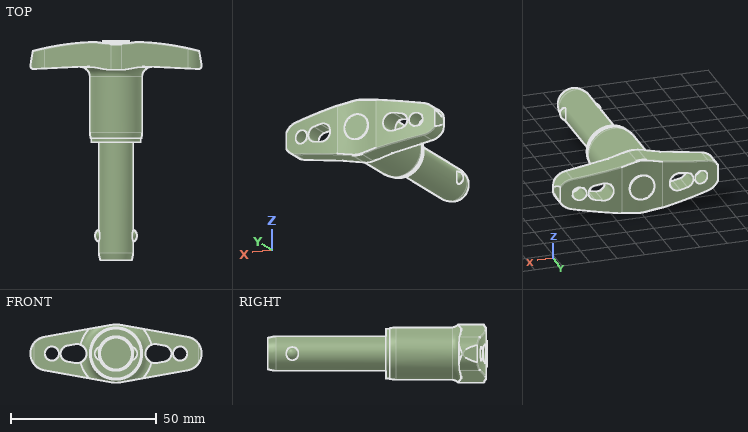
import cadquery as cq
import math


pin_radius = 6.0
pin_length = 40.7
tip_radius = 5.45
tip_length = 2.7
tip_mid_radius = 5.8
ball_radius = 2.35
ball_reach = 7.3
ball_y = 8.5 - pin_length

barrel_radius = 9.07
collar_radius = 8.6
collar_length = 1.45
barrel_nose_radius = 8.8
barrel_nose_length = 2.0
flare_radius = 12.6
flare_start_y = 22.85
flare_end_y = 25.9
flare_root_y = 30.0

overall_top_y = 35.0
button_radius = 4.5
button_thickness = 0.55
button_stem_radius = 3.2

handle_half_length = 29.55
end_draft_angle = 9.6
end_top_x = 28.72
end_top_y = overall_top_y - 3.5
crown_mid_x = 18.5
crown_mid_y = overall_top_y - 1.35
crest_x = 7.4
crest_y = overall_top_y - 0.33
dip_y = overall_top_y - 1.0
underside_end_y = overall_top_y - 9.85
underside_angle = 2.8
end_corner_radius = 1.2
crown_edge_radius = 0.3

plan_taper_angle = 10.0
plan_end_radius = 5.9
plan_middle_radius = 10.0
handle_half_width = 10.08

small_hole_x = 22.1
small_hole_radius = 2.4
slot_inner_x = 13.45
slot_inner_radius = 3.25
slot_outer_x = 16.3
slot_outer_radius = 2.75

handle_span_start_y = 20.0
handle_span_length = 20.0
margin = 1.0
tolerance = 0.1


def along_y(outline, start_y, length):
    """Extrude wires, drawn as (x, z) on the XZ plane, from start_y towards +Y."""
    return outline.extrude(-length).translate((0, start_y, 0))


def turned_body():
    """Pin, collar, barrel and nose as one revolved body."""
    tip_y = -pin_length
    tip_mid = (tip_mid_radius, tip_y + tip_length / 2)
    nose_inset = barrel_radius - barrel_nose_radius
    nose_mid = (barrel_radius - nose_inset / 4, collar_length + barrel_nose_length / 2)
    nose_top_y = collar_length + barrel_nose_length
    return (
        cq.Workplane("XY")
        .moveTo(0, tip_y)
        .lineTo(tip_radius, tip_y)
        .threePointArc(tip_mid, (pin_radius, tip_y + tip_length))
        .lineTo(pin_radius, 0)
        .lineTo(collar_radius, 0)
        .lineTo(collar_radius, collar_length)
        .lineTo(barrel_nose_radius, collar_length)
        .threePointArc(nose_mid, (barrel_radius, nose_top_y))
        .lineTo(barrel_radius, flare_root_y)
        .lineTo(0, flare_root_y)
        .close()
        .revolve(360, (0, 0, 0), (0, 1, 0))
    )


def flare():
    """Concave transition from the barrel to the underside of the handle."""
    width = flare_radius - barrel_radius
    height = flare_end_y - flare_start_y
    mid = (
        flare_radius - width * math.cos(math.pi / 4),
        flare_start_y + height * math.sin(math.pi / 4),
    )
    return (
        cq.Workplane("XY")
        .moveTo(0, flare_start_y)
        .lineTo(barrel_radius, flare_start_y)
        .threePointArc(mid, (flare_radius, flare_end_y))
        .lineTo(flare_radius, flare_root_y)
        .lineTo(0, flare_root_y)
        .close()
        .revolve(360, (0, 0, 0), (0, 1, 0))
    )


def plan_prism():
    """Tapered plan outline of the handle with rounded ends and middle."""
    taper = math.radians(plan_taper_angle)
    end_center_x = handle_half_length - plan_end_radius
    end_x = end_center_x + plan_end_radius * math.sin(taper)
    end_z = plan_end_radius * math.cos(taper)
    middle_x = plan_middle_radius * math.sin(taper)
    middle_z = handle_half_width - plan_middle_radius * (1 - math.cos(taper))
    outline = (
        cq.Workplane("XZ")
        .moveTo(-middle_x, middle_z)
        .threePointArc((0, handle_half_width), (middle_x, middle_z))
        .lineTo(end_x, end_z)
        .threePointArc((handle_half_length, 0), (end_x, -end_z))
        .lineTo(middle_x, -middle_z)
        .threePointArc((0, -handle_half_width), (-middle_x, -middle_z))
        .lineTo(-end_x, -end_z)
        .threePointArc((-handle_half_length, 0), (-end_x, end_z))
        .close()
    )
    return along_y(outline, handle_span_start_y, handle_span_length)


def profile_prism():
    """Side profile of the handle: crowned top with a central dip, drafted ends."""
    end_drop = end_top_y - underside_end_y
    end_bottom_x = end_top_x + end_drop * math.tan(math.radians(end_draft_angle))
    underside_rise = end_bottom_x * math.tan(math.radians(underside_angle))
    return (
        cq.Workplane("XY")
        .moveTo(-end_top_x, end_top_y)
        .threePointArc((-crown_mid_x, crown_mid_y), (-crest_x, crest_y))
        .threePointArc((0, dip_y), (crest_x, crest_y))
        .threePointArc((crown_mid_x, crown_mid_y), (end_top_x, end_top_y))
        .lineTo(end_bottom_x, underside_end_y)
        .lineTo(0, underside_end_y + underside_rise)
        .lineTo(-end_bottom_x, underside_end_y)
        .close()
        .extrude(handle_half_width + margin, both=True)
        .edges(cq.selectors.BoxSelector(
            (-handle_half_length - margin, underside_end_y - tolerance, -margin),
            (handle_half_length + margin, underside_end_y + tolerance, margin),
        ))
        .fillet(end_corner_radius)
    )


def crown_side_edges(handle):
    """Edges where the crowned top meets the plan outline."""
    def is_crown_edge(edge):
        box = edge.BoundingBox()
        on_side = abs(edge.Center().z) > plan_end_radius / 2
        return box.ymin > end_top_y - tolerance and on_side
    return handle.edges().filter(is_crown_edge)


def handle_body():
    plan = plan_prism()
    handle = profile_prism().intersect(plan)
    handle = crown_side_edges(handle).fillet(crown_edge_radius)
    return handle.union(flare().intersect(plan))


def teardrop_slot(side):
    """Slot with a large end towards the barrel and a small end outwards."""
    spacing = slot_outer_x - slot_inner_x
    lean = math.asin((slot_inner_radius - slot_outer_radius) / spacing)
    inner_x = slot_inner_x + slot_inner_radius * math.sin(lean)
    outer_x = slot_outer_x + slot_outer_radius * math.sin(lean)
    inner_z = slot_inner_radius * math.cos(lean)
    outer_z = slot_outer_radius * math.cos(lean)
    outline = (
        cq.Workplane("XZ")
        .moveTo(side * inner_x, inner_z)
        .lineTo(side * outer_x, outer_z)
        .threePointArc((side * (slot_outer_x + slot_outer_radius), 0), (side * outer_x, -outer_z))
        .lineTo(side * inner_x, -inner_z)
        .threePointArc((side * (slot_inner_x - slot_inner_radius), 0), (side * inner_x, inner_z))
        .close()
    )
    return along_y(outline, handle_span_start_y, handle_span_length)


def small_hole(side):
    outline = cq.Workplane("XZ").center(side * small_hole_x, 0).circle(small_hole_radius)
    return along_y(outline, handle_span_start_y, handle_span_length)


def button():
    """Disc on a narrower stem, standing in the dip of the handle."""
    disc_y = overall_top_y - button_thickness
    disc = along_y(cq.Workplane("XZ").circle(button_radius), disc_y, button_thickness)
    stem_length = disc_y - flare_root_y
    stem = along_y(cq.Workplane("XZ").circle(button_stem_radius), flare_root_y, stem_length)
    return disc.union(stem)


def locking_ball(side):
    ball_x = side * (ball_reach - ball_radius)
    return cq.Workplane("XY").sphere(ball_radius).translate((ball_x, ball_y, 0))


result = handle_body().union(turned_body()).union(button())
for side in (-1, 1):
    result = result.cut(teardrop_slot(side)).cut(small_hole(side))
    result = result.union(locking_ball(side))